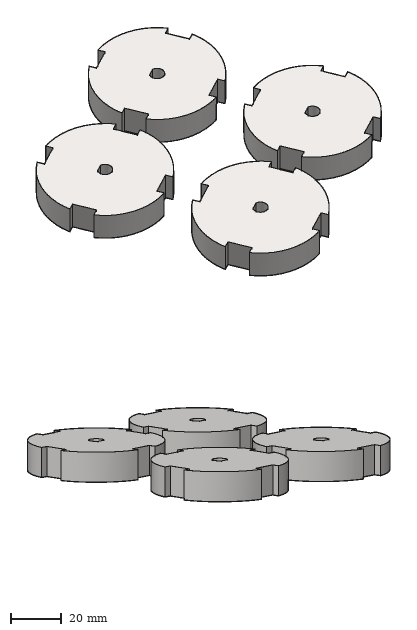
import cadquery as cq
import math

overall_x = 118.1
overall_y = 113.1

wheel_radius = 27.0
wheel_thickness = 12.0
notch_count = 4
notch_width = 10.0
notch_floor_radius = 23.5

shaft_diameter = 6.0
shaft_flat_distance = 2.5

wheel_span = 2 * math.sqrt(wheel_radius**2 - (notch_width / 2) ** 2)
pitch_x = overall_x - wheel_span
pitch_y = overall_y - wheel_span


def make_notch(angle):
    """Rectangular rim notch, open outward and cut through the full thickness."""
    return (
        cq.Workplane("XY")
        .box(wheel_radius, notch_width, wheel_thickness, centered=(False, True, False))
        .translate((notch_floor_radius, 0, 0))
        .rotate((0, 0, 0), (0, 0, 1), angle)
    )


def make_shaft_hole():
    """Through hole whose round outline is cut off by one flat."""
    shaft_radius = shaft_diameter / 2
    flat_half_length = math.sqrt(shaft_radius**2 - shaft_flat_distance**2)
    return (
        cq.Workplane("XY")
        .moveTo(-shaft_flat_distance, -flat_half_length)
        .threePointArc((shaft_radius, 0), (-shaft_flat_distance, flat_half_length))
        .close()
        .extrude(wheel_thickness)
    )


def make_wheel(center_x, center_y):
    """One notched wheel with its axis along Z, resting on Z = 0."""
    wheel = cq.Workplane("XY").circle(wheel_radius).extrude(wheel_thickness)
    for index in range(notch_count):
        wheel = wheel.cut(make_notch(index * 360 / notch_count))
    wheel = wheel.cut(make_shaft_hole())
    return wheel.translate((center_x, center_y, 0))


wheels = []
for center_x in (-pitch_x / 2, pitch_x / 2):
    for center_y in (-pitch_y / 2, pitch_y / 2):
        wheels.append(make_wheel(center_x, center_y).val())

result = cq.Compound.makeCompound(wheels)